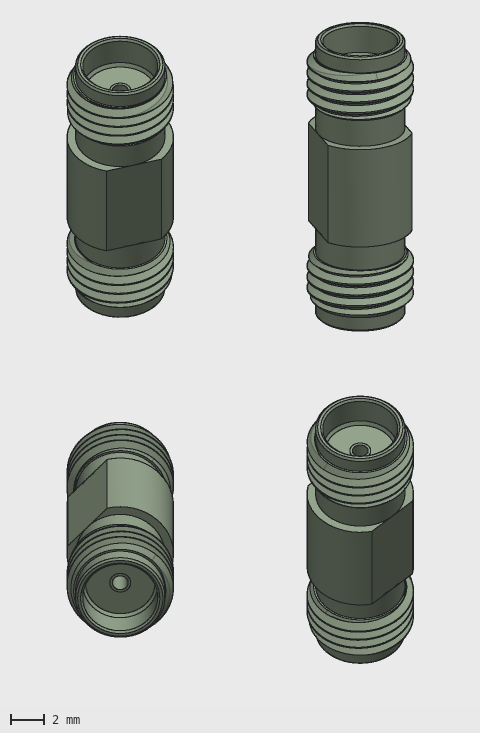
import cadquery as cq
import math


length = 17.88
thread_diameter = 6.35
neck_diameter = 5.33

grip_length = 6.35
flat_spacing = neck_diameter

rim_chamfer = 0.13
bore_radius = 2.24
socket_depth = 2.04
seat_taper_height = 0.21
insulator_radius = 2.07

contact_radius = 0.63
contact_hole_radius = 0.46
contact_hole_depth = 2.15

turns_per_diameter = 9
thread_start = 0.98
thread_length = 3.05
thread_root_radius = 2.72
thread_chamfer = 0.4
crest_flat = 0.09
flank_angle = 30.0
ridge_embedment = 0.05
ridge_overrun = 0.9
ridge_turns = 7

half_length = length / 2
thread_radius = thread_diameter / 2
neck_radius = neck_diameter / 2
pitch = thread_diameter / turns_per_diameter
insulator_top = half_length - socket_depth
insulator_length = 2 * insulator_top
thread_top = half_length - thread_start
thread_bottom = thread_top - thread_length


def cylinder(radius, height, bottom):
    return cq.Workplane("XY").workplane(offset=bottom).circle(radius).extrude(height)


def turn_over(shape):
    """Carry a shape from the upper end to the lower end by half a turn about Y."""
    return shape.rotate((0, 0, 0), (0, 1, 0), 180)


def thread_ridge():
    """Right-handed helical ridge, running past both ends of the threaded length."""
    base_radius = thread_root_radius - ridge_embedment
    crest_half_width = crest_flat / 2
    base_half_width = crest_half_width + (thread_radius - base_radius) * math.tan(math.radians(flank_angle))
    path = cq.Wire.makeHelix(pitch, ridge_turns * pitch, base_radius)
    ridge = (
        cq.Workplane("XZ")
        .moveTo(base_radius, -base_half_width)
        .lineTo(thread_radius, -crest_half_width)
        .lineTo(thread_radius, crest_half_width)
        .lineTo(base_radius, base_half_width)
        .close()
        .sweep(cq.Workplane(path), isFrenet=True)
    )
    return ridge.translate((0, 0, thread_bottom - ridge_overrun))


def thread_envelope():
    """Barrel of two 45 degree cones that trims the ridge and bevels both ends of the thread."""
    end_radius = thread_radius - thread_chamfer
    half_thread = thread_length / 2
    return (
        cq.Workplane("XZ")
        .moveTo(0, thread_bottom)
        .lineTo(end_radius, thread_bottom)
        .lineTo(end_radius + half_thread, thread_bottom + half_thread)
        .lineTo(end_radius, thread_top)
        .lineTo(0, thread_top)
        .close()
        .revolve(360, (0, 0, 0), (0, 1, 0))
    )


def thread():
    """Threaded sleeve around the upper neck, bevelled at both ends."""
    root = cylinder(thread_root_radius, thread_length, thread_bottom)
    root = root.rotate((0, 0, 0), (0, 0, 1), 90)
    envelope = thread_envelope().rotate((0, 0, 0), (0, 0, 1), 90)
    return root.union(thread_ridge().intersect(envelope))


def grip():
    blank = cylinder(thread_radius, grip_length, -grip_length / 2)
    slab = cq.Workplane("XY").box(flat_spacing, thread_diameter, grip_length)
    return blank.intersect(slab)


def socket():
    """Hollow of the upper socket: bevelled mouth, bore and taper down to the insulator seat."""
    return (
        cq.Workplane("XZ")
        .moveTo(0, half_length)
        .lineTo(bore_radius + rim_chamfer, half_length)
        .lineTo(bore_radius, half_length - rim_chamfer)
        .lineTo(bore_radius, insulator_top + seat_taper_height)
        .lineTo(insulator_radius, insulator_top)
        .lineTo(0, insulator_top)
        .close()
        .revolve(360, (0, 0, 0), (0, 1, 0))
    )


def make_housing():
    core = cylinder(neck_radius, length, -half_length).edges().chamfer(rim_chamfer)
    upper_thread = thread()
    body = core.union(grip()).union(upper_thread).union(turn_over(upper_thread))
    upper_socket = socket()
    seat = cylinder(insulator_radius, insulator_length, -insulator_top)
    return body.cut(upper_socket).cut(turn_over(upper_socket)).cut(seat)


def make_insulator():
    body = cylinder(insulator_radius, insulator_length, -insulator_top)
    return body.cut(cylinder(contact_radius, insulator_length, -insulator_top))


def make_contact():
    """Contact flush with the insulator, with a blind hole in each end."""
    body = cylinder(contact_radius, insulator_length, -insulator_top)
    hole = cylinder(contact_hole_radius, contact_hole_depth, insulator_top - contact_hole_depth)
    return body.cut(hole).cut(turn_over(hole))


housing = make_housing()
insulator = make_insulator()
contact = make_contact()
result = cq.Compound.makeCompound([housing.val(), insulator.val(), contact.val()])